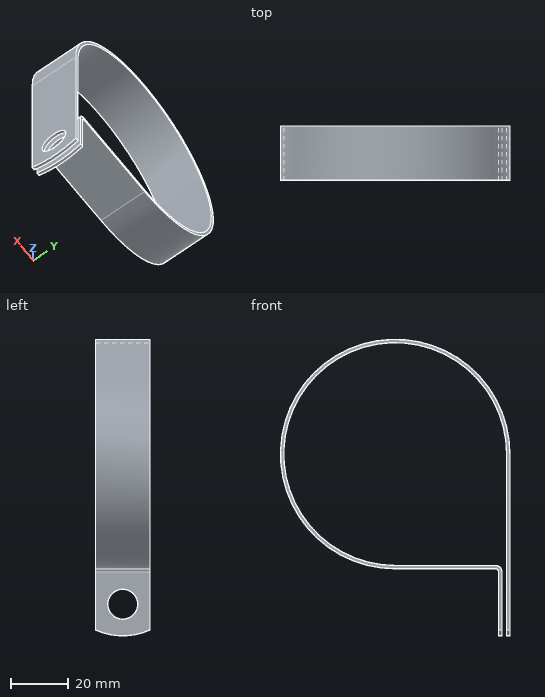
import cadquery as cq
import math

outer_diameter = 80.2
total_height = 103.6
strap_width = 19.1
thickness = 1.2
tab_gap = 1.6
bend_inner_radius = 1.0
hole_diameter = 10.4
hole_above_tip = 11.1
tip_rise = 2.1

outer_radius = outer_diameter / 2
inner_radius = outer_radius - thickness
bend_outer_radius = bend_inner_radius + thickness
tip_z = outer_radius - total_height
right_tab_inner_x = outer_radius - thickness
left_tab_right_x = right_tab_inner_x - tab_gap
left_tab_left_x = left_tab_right_x - thickness
bend_x = left_tab_right_x - bend_outer_radius
bend_z = -inner_radius - bend_outer_radius
diagonal = math.sqrt(0.5)


def make_strap():
    """Open loop with a flat foot bent down beside the long straight leg."""
    return (
        cq.Workplane("XZ")
        .moveTo(outer_radius, tip_z)
        .lineTo(outer_radius, 0)
        .threePointArc((-outer_radius * diagonal, outer_radius * diagonal), (0, -outer_radius))
        .lineTo(bend_x, -outer_radius)
        .threePointArc(
            (bend_x + bend_inner_radius * diagonal, bend_z + bend_inner_radius * diagonal),
            (left_tab_left_x, bend_z),
        )
        .lineTo(left_tab_left_x, tip_z)
        .lineTo(left_tab_right_x, tip_z)
        .lineTo(left_tab_right_x, bend_z)
        .threePointArc(
            (bend_x + bend_outer_radius * diagonal, bend_z + bend_outer_radius * diagonal),
            (bend_x, -inner_radius),
        )
        .lineTo(0, -inner_radius)
        .threePointArc((-inner_radius * diagonal, inner_radius * diagonal), (inner_radius, 0))
        .lineTo(right_tab_inner_x, tip_z)
        .close()
        .extrude(strap_width / 2, both=True)
    )


def make_side_envelope():
    """Full-length block whose lower end is the arc that rounds both tabs."""
    half_width = strap_width / 2
    return (
        cq.Workplane("YZ")
        .moveTo(-half_width, outer_radius)
        .lineTo(-half_width, tip_z + tip_rise)
        .threePointArc((0, tip_z), (half_width, tip_z + tip_rise))
        .lineTo(half_width, outer_radius)
        .close()
        .extrude(outer_radius, both=True)
    )


def make_bolt_hole():
    """Cylinder along X that passes through both tabs."""
    return (
        cq.Workplane("YZ")
        .center(0, tip_z + hole_above_tip)
        .circle(hole_diameter / 2)
        .extrude(outer_diameter)
    )


result = make_strap().intersect(make_side_envelope()).cut(make_bolt_hole())